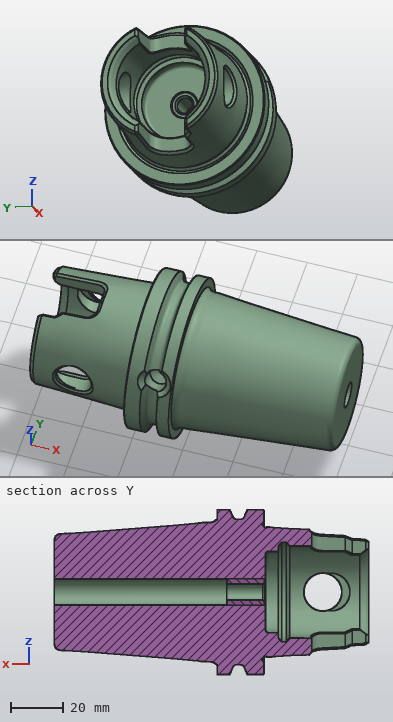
import cadquery as cq
import math

LENGTH = 120.0
FLANGE_DIAMETER = 63.0
FLANGE_RADIUS = FLANGE_DIAMETER / 2

TAPER_PER_LENGTH = 1 / 20
SHANK_TIP_RADIUS = 23.0
SHANK_TIP_CHAMFER_LENGTH = 1.4
SHANK_FACE_RADIUS = 22.2
SHANK_LENGTH = 38.9

FLANGE_START = 40.0
FLANGE_CHAMFER = 0.4
FLANGE_END = 57.8
RELIEF_OUTER_RADIUS = 26.9
RELIEF_INNER_RADIUS = 25.8
RELIEF_DEPTH = 0.7
SHANK_UNDERCUT_RADIUS = 24.5
SHANK_UNDERCUT_RAMP = 0.5
GROOVE_MIDDLE = 49.7
GROOVE_FLOOR_WIDTH = 3.4
GROOVE_MOUTH_WIDTH = 6.7
GROOVE_FLOOR_RADIUS = 27.8
GROOVE_FILLET = 1.3

NECK_ROOT_RADIUS = 28.0
NECK_RADIUS = 26.6
NECK_ARC_END = 60.7
NECK_ARC_RISE = NECK_ROOT_RADIUS - NECK_RADIUS
NECK_ARC_RADIUS = ((NECK_ARC_END - FLANGE_END) ** 2 + NECK_ARC_RISE ** 2) / (2 * NECK_ARC_RISE)
NECK_END = 62.5
NOSE_TIP_RADIUS = 22.1
NOSE_TIP_FILLET = 2.5

BORE_MOUTH_RADIUS = 20.0
BORE_CHAMFER_RADIUS = 19.0
BORE_CHAMFER_LENGTH = 1.1
BORE_LEAD_END = 3.5
BORE_RADIUS = 17.5
BORE_RELIEF_RADIUS = 19.0
BORE_RELIEF_START = 30.2
BORE_RELIEF_RAMP = 1.2
BORE_FLOOR = 34.4
RECESS_RADIUS = 15.5
RECESS_FLOOR = 39.3
RECESS_FILLET = 1.1

SLOT_HALF_WIDTH = 8.2
SLOT_LENGTH = 21.7
SLOT_CORNER_RADIUS = 4.0
WIDE_SLOT_HALF_WIDTH = 10.2
WIDE_SLOT_END = 6.2
WIDE_SLOT_RAMP_END = 8.9
SLOT_CHAMFER = 1.1
SLOT_INNER_CHAMFER = 0.4

ACCESS_HOLE_X = 17.5
ACCESS_HOLE_RADIUS = 7.2
ACCESS_HOLE_CHAMFER = 1.0
ACCESS_POCKET_SHIFT = 3.1
ACCESS_POCKET_REACH = 21.0

CHIP_HOLE_X = 50.9
CHIP_HOLE_RADIUS = 4.2
CHIP_HOLE_ANGLE = 30.0
CHIP_HOLE_BOTTOM = 20.9
DRILL_POINT_ANGLE = 118.0
COUNTERSINK_RADIUS = 6.5

SCREW_RADIUS = 4.9
SCREW_LENGTH = 14.4
SCREW_BORE_RADIUS = 3.0
SCREW_BORE_CHAMFER = 0.7
SCREW_HOLE_CHAMFER = 0.4
SCREW_START = RECESS_FLOOR + SCREW_HOLE_CHAMFER

CUTTER_OVERRUN = 1.2
TOLERANCE = 0.06


def revolve_about_x(sketch):
    """Revolve a closed outline drawn as (x, radius) about the X axis."""
    return sketch.close().revolve(360, (0, 0, 0), (1, 0, 0))


def outer_body():
    taper_run = SHANK_LENGTH - SHANK_TIP_CHAMFER_LENGTH
    shank_end_radius = SHANK_TIP_RADIUS + taper_run * TAPER_PER_LENGTH
    body = revolve_about_x(
        cq.Workplane("XY")
        .moveTo(0, 0)
        .lineTo(0, SHANK_FACE_RADIUS)
        .lineTo(SHANK_TIP_CHAMFER_LENGTH, SHANK_TIP_RADIUS)
        .lineTo(SHANK_LENGTH, shank_end_radius)
        .lineTo(SHANK_LENGTH + SHANK_UNDERCUT_RAMP, SHANK_UNDERCUT_RADIUS)
        .lineTo(FLANGE_START + RELIEF_DEPTH, RELIEF_INNER_RADIUS)
        .lineTo(FLANGE_START, RELIEF_OUTER_RADIUS)
        .lineTo(FLANGE_START, FLANGE_RADIUS - FLANGE_CHAMFER)
        .lineTo(FLANGE_START + FLANGE_CHAMFER, FLANGE_RADIUS)
        .lineTo(FLANGE_END, FLANGE_RADIUS)
        .lineTo(FLANGE_END, NECK_ROOT_RADIUS)
        .radiusArc((NECK_ARC_END, NECK_RADIUS), -NECK_ARC_RADIUS)
        .lineTo(NECK_END, NECK_RADIUS)
        .lineTo(LENGTH, NOSE_TIP_RADIUS)
        .lineTo(LENGTH, 0)
    )
    return body.faces(">X").edges().fillet(NOSE_TIP_FILLET)


def gripper_groove():
    ring = revolve_about_x(
        cq.Workplane("XY")
        .moveTo(GROOVE_MIDDLE - GROOVE_MOUTH_WIDTH / 2, FLANGE_RADIUS)
        .lineTo(GROOVE_MIDDLE - GROOVE_FLOOR_WIDTH / 2, GROOVE_FLOOR_RADIUS)
        .lineTo(GROOVE_MIDDLE + GROOVE_FLOOR_WIDTH / 2, GROOVE_FLOOR_RADIUS)
        .lineTo(GROOVE_MIDDLE + GROOVE_MOUTH_WIDTH / 2, FLANGE_RADIUS)
    )
    floor_edges = cq.selectors.RadiusNthSelector(0)
    return ring.edges("%CIRCLE").edges(floor_edges).fillet(GROOVE_FILLET)


def shank_bore():
    bore = revolve_about_x(
        cq.Workplane("XY")
        .moveTo(0, 0)
        .lineTo(0, BORE_MOUTH_RADIUS)
        .lineTo(BORE_CHAMFER_LENGTH, BORE_CHAMFER_RADIUS)
        .lineTo(BORE_LEAD_END, BORE_RADIUS)
        .lineTo(BORE_RELIEF_START, BORE_RADIUS)
        .lineTo(BORE_RELIEF_START + BORE_RELIEF_RAMP, BORE_RELIEF_RADIUS)
        .lineTo(BORE_FLOOR - BORE_RELIEF_RAMP, BORE_RELIEF_RADIUS)
        .lineTo(BORE_FLOOR, BORE_RADIUS)
        .lineTo(BORE_FLOOR, RECESS_RADIUS)
        .lineTo(RECESS_FLOOR, RECESS_RADIUS)
        .lineTo(RECESS_FLOOR, 0)
    )
    return bore.faces(">X").edges().fillet(RECESS_FILLET)


def drive_slots():
    outline = (
        cq.Workplane("XY")
        .moveTo(0, SLOT_HALF_WIDTH)
        .lineTo(SLOT_LENGTH, SLOT_HALF_WIDTH)
        .lineTo(SLOT_LENGTH, -SLOT_HALF_WIDTH)
        .lineTo(WIDE_SLOT_RAMP_END, -SLOT_HALF_WIDTH)
        .lineTo(WIDE_SLOT_END, -WIDE_SLOT_HALF_WIDTH)
        .lineTo(0, -WIDE_SLOT_HALF_WIDTH)
        .close()
    )
    slots = outline.extrude(FLANGE_RADIUS, both=True)
    return slots.edges("|Z and >X").fillet(SLOT_CORNER_RADIUS)


def access_holes():
    return (
        cq.Workplane("XZ")
        .center(ACCESS_HOLE_X, 0)
        .circle(ACCESS_HOLE_RADIUS)
        .extrude(FLANGE_RADIUS, both=True)
    )


def access_pockets():
    """Inside widening of the access holes towards the open end, stopping within the wall."""
    width = 2 * ACCESS_HOLE_RADIUS
    return (
        cq.Workplane("XZ")
        .center(ACCESS_HOLE_X - ACCESS_POCKET_SHIFT / 2, 0)
        .slot2D(width + ACCESS_POCKET_SHIFT, width)
        .extrude(ACCESS_POCKET_REACH, both=True)
    )


def middle_radius(edge):
    """Distance of the middle of an edge from the X axis."""
    middle = edge.positionAt(0.5)
    return math.hypot(middle.y, middle.z)


def slot_rims(body):
    """Edges of the drive slots: on the outside and the end face of the shank, then on its bore."""
    def follows_slot(edge):
        box = edge.BoundingBox()
        is_slot_end = abs(box.xmin - SLOT_LENGTH) < TOLERANCE
        return box.xmax < SLOT_LENGTH + TOLERANCE and (box.xlen > TOLERANCE or is_slot_end)

    def is_seam(edge):
        return abs(edge.positionAt(0.5).z) < TOLERANCE

    rims = [edge for edge in body.edges().vals() if follows_slot(edge) and not is_seam(edge)]
    outer = [edge for edge in rims if middle_radius(edge) > SHANK_FACE_RADIUS]
    inner = [edge for edge in rims if abs(middle_radius(edge) - BORE_RADIUS) < TOLERANCE]
    corners = body.edges("<X").edges("%LINE").vals()
    return outer + corners, inner


def access_hole_rims(body):
    """Edges of the access holes on the outside of the shank."""
    def is_rim(edge):
        box = edge.BoundingBox()
        spans_hole = abs(box.xlen - 2 * ACCESS_HOLE_RADIUS) < TOLERANCE
        is_centred = abs(box.center.x - ACCESS_HOLE_X) < TOLERANCE
        return spans_hole and is_centred and middle_radius(edge) > SHANK_FACE_RADIUS

    return [edge for edge in body.edges().vals() if is_rim(edge)]


def chip_hole(angle, countersunk):
    """Drill for a blind hole pointing at the axis, turned by angle from +Y towards +Z."""
    point_length = CHIP_HOLE_RADIUS / math.tan(math.radians(DRILL_POINT_ANGLE / 2))
    top = FLANGE_RADIUS + CUTTER_OVERRUN
    drill = (
        cq.Workplane("XY")
        .moveTo(0, CHIP_HOLE_BOTTOM - point_length)
        .lineTo(CHIP_HOLE_RADIUS, CHIP_HOLE_BOTTOM)
        .lineTo(CHIP_HOLE_RADIUS, top)
        .lineTo(0, top)
        .close()
        .revolve(360, (0, 0, 0), (0, 1, 0))
    )
    if countersunk:
        sink_depth = COUNTERSINK_RADIUS - CHIP_HOLE_RADIUS
        sink = (
            cq.Workplane("XY")
            .moveTo(0, FLANGE_RADIUS - sink_depth)
            .lineTo(CHIP_HOLE_RADIUS, FLANGE_RADIUS - sink_depth)
            .lineTo(COUNTERSINK_RADIUS, FLANGE_RADIUS)
            .lineTo(COUNTERSINK_RADIUS, top)
            .lineTo(0, top)
            .close()
            .revolve(360, (0, 0, 0), (0, 1, 0))
        )
        drill = drill.union(sink)
    return drill.rotate((0, 0, 0), (1, 0, 0), angle).translate((CHIP_HOLE_X, 0, 0))


def screw_hole():
    """Chamfered hole along the axis, from the recess floor through the nose."""
    return revolve_about_x(
        cq.Workplane("XY")
        .moveTo(RECESS_FLOOR, 0)
        .lineTo(RECESS_FLOOR, SCREW_RADIUS + SCREW_HOLE_CHAMFER)
        .lineTo(SCREW_START, SCREW_RADIUS)
        .lineTo(LENGTH, SCREW_RADIUS)
        .lineTo(LENGTH, 0)
    )


def make_holder():
    holder = outer_body().cut(gripper_groove()).cut(shank_bore()).cut(drive_slots())
    outer_rims, inner_rims = slot_rims(holder)
    slotted = holder.val().chamfer(SLOT_CHAMFER, None, outer_rims)
    slotted = slotted.chamfer(SLOT_INNER_CHAMFER, None, inner_rims)
    holder = cq.Workplane(slotted).cut(access_holes())
    drilled = holder.val().chamfer(ACCESS_HOLE_CHAMFER, None, access_hole_rims(holder))
    return (
        cq.Workplane(drilled)
        .cut(access_pockets())
        .cut(chip_hole(180 - CHIP_HOLE_ANGLE, countersunk=True))
        .cut(chip_hole(CHIP_HOLE_ANGLE, countersunk=False))
        .cut(screw_hole())
    )


def make_stop_screw():
    """Hollow screw whose front face sits just below the chamfer of its hole."""
    return revolve_about_x(
        cq.Workplane("XY")
        .moveTo(SCREW_START, SCREW_BORE_RADIUS + SCREW_BORE_CHAMFER)
        .lineTo(SCREW_START, SCREW_RADIUS)
        .lineTo(SCREW_START + SCREW_LENGTH, SCREW_RADIUS)
        .lineTo(SCREW_START + SCREW_LENGTH, SCREW_BORE_RADIUS)
        .lineTo(SCREW_START + SCREW_BORE_CHAMFER, SCREW_BORE_RADIUS)
    )


holder = make_holder()
stop_screw = make_stop_screw()
result = cq.Compound.makeCompound([holder.val(), stop_screw.val()])